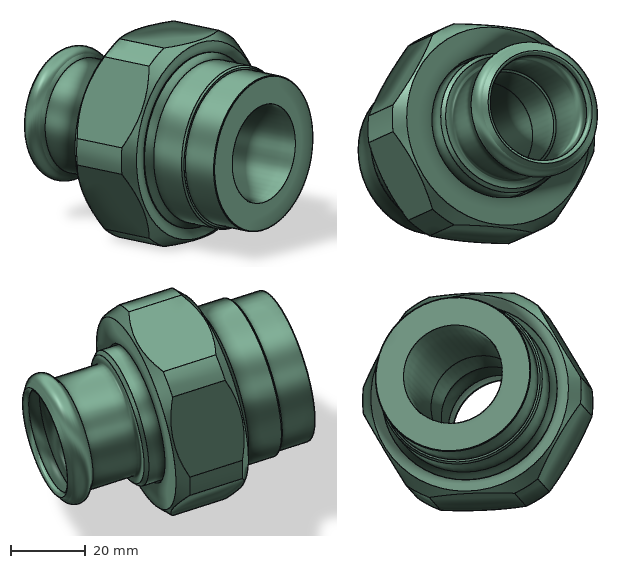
import cadquery as cq
import math

length = 69.5

nut_start = 26.5
nut_end = 47.55
across_flats = 55.0
corner_radius = 59.7 / 2
nut_face_radius = 27.0
nut_lip_radius = 39.05 / 2
nut_bore_radius = 47.8 / 2
nut_lip_thickness = 3.5

tube_radius = 31.4 / 2
socket_radius = 28.4 / 2
mouth_radius = 28.7 / 2
passage_radius = 27.0 / 2
socket_depth = 20.15
collar_start = 21.05
collar_radius = 38.0 / 2
collar_chamfer = 1.0
collar_root_fillet = 0.8
flange_thickness = 3.5

mouth_face_radius = 15.35
mouth_rounding = mouth_face_radius - mouth_radius
bead_start = 1.0
bead_middle = 3.7
bead_end = 6.4
bead_edge_radius = 16.6
bead_radius = 18.35
bead_foot = 7.2
groove_start = 1.4
groove_wall = 1.4
groove_edge_radius = 16.3
groove_end = 5.35
groove_cone_end = 5.85
groove_cone_radius = 15.3
groove_exit = 7.6
groove_exit_rounding = 1.95
groove_radius = bead_radius - groove_wall

shoulder_length = 0.3
cone_end = 49.6
body_end = 59.6
body_radius = 44.5 / 2
body_chamfer = 0.5
spigot_radius = 42.4 / 2
spigot_chamfer = 0.2

flange_start = nut_start + nut_lip_thickness
flange_end = flange_start + flange_thickness


def revolve_about_x(profile):
    return profile.close().revolve(360, (0, 0, 0), (1, 0, 0))


def bore(start, end, radius):
    """Cylinder along X between two stations."""
    return cq.Workplane("YZ", origin=(start, 0, 0)).circle(radius).extrude(end - start)


def make_nut():
    width = nut_end - nut_start
    corner_chamfer = corner_radius - nut_face_radius
    across_corners = across_flats / math.cos(math.pi / 6)
    hexagon = cq.Workplane("YZ", origin=(nut_start, 0, 0)).polygon(6, across_corners).extrude(width)
    turned_blank = bore(nut_start, nut_end, corner_radius).edges().chamfer(corner_chamfer)
    lip_hole = bore(nut_start, flange_start, nut_lip_radius)
    main_bore = bore(flange_start, nut_end, nut_bore_radius)
    return hexagon.intersect(turned_blank).cut(lip_hole).cut(main_bore)


def make_press_sleeve():
    outside = (
        cq.Workplane("XY")
        .moveTo(0, 0)
        .lineTo(0, mouth_face_radius)
        .lineTo(bead_start, bead_edge_radius)
        .threePointArc((bead_middle, bead_radius), (bead_end, bead_edge_radius))
        .lineTo(bead_foot, tube_radius)
        .lineTo(collar_start - collar_root_fillet, tube_radius)
        .radiusArc((collar_start, tube_radius + collar_root_fillet), -collar_root_fillet)
        .lineTo(collar_start, collar_radius - collar_chamfer)
        .lineTo(collar_start + collar_chamfer, collar_radius)
        .lineTo(flange_start, collar_radius)
        .lineTo(flange_start, nut_bore_radius)
        .lineTo(flange_end, nut_bore_radius)
        .lineTo(flange_end, 0)
    )
    inside = (
        cq.Workplane("XY")
        .moveTo(0, 0)
        .lineTo(0, mouth_face_radius)
        .radiusArc((mouth_rounding, mouth_radius), -mouth_rounding)
        .lineTo(groove_start, mouth_radius)
        .lineTo(groove_start, groove_edge_radius)
        .threePointArc(((groove_start + groove_end) / 2, groove_radius), (groove_end, groove_edge_radius))
        .lineTo(groove_cone_end, groove_cone_radius)
        .radiusArc((groove_exit, socket_radius), -groove_exit_rounding)
        .lineTo(socket_depth, socket_radius)
        .lineTo(socket_depth, passage_radius)
        .lineTo(flange_end, passage_radius)
        .lineTo(flange_end, 0)
    )
    return revolve_about_x(outside).cut(revolve_about_x(inside))


def make_tailpiece():
    outside = (
        cq.Workplane("XY")
        .moveTo(flange_end, passage_radius)
        .lineTo(flange_end, nut_bore_radius)
        .lineTo(nut_end + shoulder_length, nut_bore_radius)
        .lineTo(cone_end, body_radius)
        .lineTo(body_end - body_chamfer, body_radius)
        .lineTo(body_end, body_radius - body_chamfer)
        .lineTo(body_end, spigot_radius)
        .lineTo(length - spigot_chamfer, spigot_radius)
        .lineTo(length, spigot_radius - spigot_chamfer)
        .lineTo(length, passage_radius)
    )
    return revolve_about_x(outside)


nut = make_nut()
press_sleeve = make_press_sleeve()
tailpiece = make_tailpiece()

result = cq.Compound.makeCompound([nut.val(), press_sleeve.val(), tailpiece.val()])